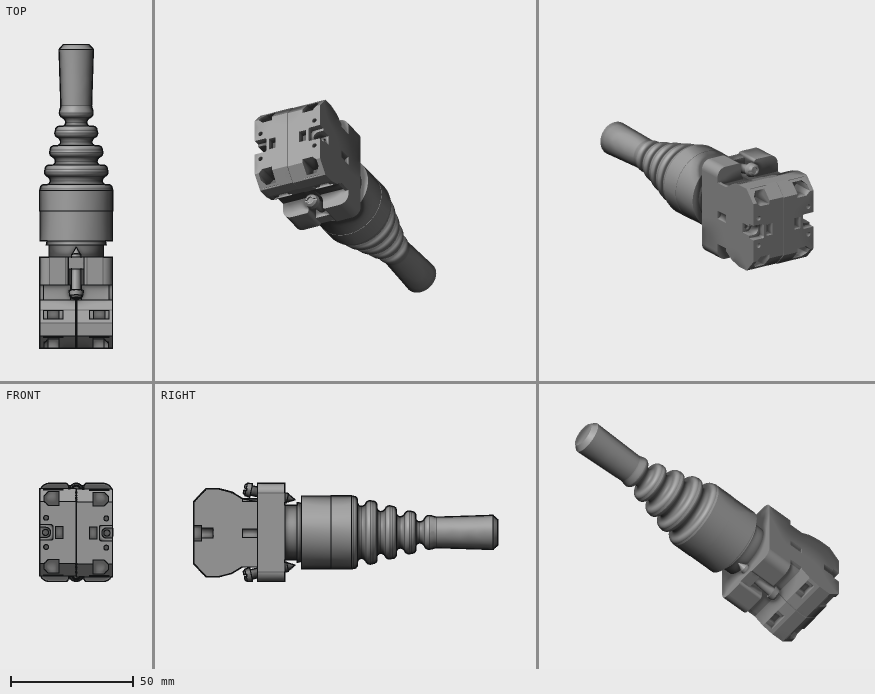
import cadquery as cq
import math


contact_depth = 25.9
mount_front = 37.2
flange_rear = 42.2
housing_rear = 43.9
boot_rear = 56.1
lever_tip = 124.1

tip_radius = 5.2
tip_chamfer = 1.9
tip_chamfer_length = 2.0
grip_end = 99.2
grip_end_radius = 6.3
collar_y = 96.2
collar_radius = 7.0
ring_count = 3
ring_pitch = 8.0
ring_step = 2.1
first_crest_y = 88.0
first_crest_radius = 8.8
first_neck_y = 92.2
first_neck_radius = 4.3
front_round = 1.7
front_neck_round = 1.5
shoulder_drop = 0.2
rim_radius = 15.0
rim_taper_length = 0.7

housing_radius = 14.9
flange_radius = 12.3
flange_taper = 0.4
stem_radius = 11.2

mount_width = 29.8
mount_height = 40.2
mount_corner = 4.0
notch_half_width = 3.2
notch_mouth_round = 1.1
selection_margin = 0.1
notch_round_z = 15.9
lug_rear = 32.5
lug_top = 19.1

screw_tilt = 12.0
screw_seat_y = 23.5
screw_seat_z = 17.1
shank_radius = 2.0
head_rim_radius = 3.0
head_radius = 2.6
head_length = 3.0
head_bevel = 0.9
head_recess_radius = 1.4
head_slot_width = 0.7
drive_depth = 1.1
shank_length = 15.1
point_length = 3.2
point_radius = 1.7

seam = 0.2
block_shift = 0.2
block_half_height = 17.9
rear_half_height = 12.7
rear_chamfer_y = 5.0
crest_front_y = 10.4
shoulder_y = 15.6
shoulder_half_height = 16.5
step_y = 19.9
step_half_height = 13.9
slope_end_half_height = 12.8
outer_strip = 1.5
centre_strip = 2.2

wire_hole_outer_x = 13.2
wire_hole_inner_x = 7.0
wire_hole_top = 16.6
wire_hole_bottom = 11.0
wire_hole_corner = 1.7
wire_hole_depth = 9.9

window_outer_x = 13.4
window_inner_x = 5.3
window_rear_y = 11.9
window_front_y = 15.5
window_ledge_z = 16.0
window_ledge = 1.7
window_floor_z = 13.7

edge_groove_top = 17.6
edge_groove_height = 0.2
edge_groove_front_y = 4.7

probe_hole_x = 12.3
probe_hole_z = 6.0
probe_hole_radius = 1.0
probe_hole_depth = 2.5

latch_hole_inner_x = 5.3
latch_hole_width = 3.1
latch_hole_height = 5.0
latch_hole_depth = 3.7

side_box_width = 5.3
side_box_height = 6.3
side_box_depth = 3.1
side_box_corner = 0.7
side_slot_radius = 2.1
side_slot_end_y = 8.0
side_screw_x = 12.5
side_screw_radius = 1.2
side_screw_depth = 1.2
side_groove_radius = 1.7


def box(x0, x1, y0, y1, z0, z1):
    """A box given by its limits on the three axes."""
    return cq.Workplane("XY").box(x1 - x0, y1 - y0, z1 - z0, centered=False).translate((x0, y0, z0))


def polar(centre_y, centre_r, radius, degrees):
    """A point (r, y) on a circle; the angle is measured from outward towards the lever tip."""
    angle = math.radians(degrees)
    return (centre_r + radius * math.cos(angle), centre_y + radius * math.sin(angle))


def turn_about_lever_axis(outline):
    """Turn an outline of (radius, y) points about the Y axis."""
    return outline.close().revolve(360, (0, 0, 0), (0, 1, 0))


def rear_flank(outline, crest_y, crest_r, neck_y, neck_r):
    """From a crest down to the next neck: a convex and a hollow arc that meet tangentially."""
    run = crest_y - neck_y
    drop = crest_r - neck_r
    turn = 2 * math.degrees(math.atan2(drop, run))
    radius = run / math.sin(math.radians(turn)) / 2
    crest_centre = (crest_y, crest_r - radius)
    neck_centre = (neck_y, neck_r + radius)
    outline = outline.threePointArc(
        polar(*crest_centre, radius, -turn / 2), polar(*crest_centre, radius, -turn)
    )
    return outline.threePointArc(polar(*neck_centre, radius, 180 - turn / 2), (neck_r, neck_y))


def front_flank(outline, neck_y, neck_r, crest_y, crest_r):
    """From a neck out to the next crest: a hollow arc, a flat face and a rounded shoulder."""
    face_y = neck_y - front_neck_round
    shoulder_r = crest_r - shoulder_drop
    outline = outline.threePointArc(
        polar(neck_y, neck_r + front_neck_round, front_neck_round, 225),
        (neck_r + front_neck_round, face_y),
    )
    outline = outline.lineTo(shoulder_r - front_round, face_y)
    outline = outline.threePointArc(
        polar(face_y - front_round, shoulder_r - front_round, front_round, 45),
        (shoulder_r, face_y - front_round),
    )
    return outline.lineTo(crest_r, crest_y)


def make_boot():
    """Lever grip, bellows and wide rim as one turned body."""
    outline = (
        cq.Workplane("XY")
        .moveTo(0, lever_tip)
        .lineTo(tip_radius, lever_tip)
        .lineTo(tip_radius + tip_chamfer, lever_tip - tip_chamfer_length)
        .lineTo(grip_end_radius, grip_end)
        .spline(
            [(collar_radius, collar_y)],
            tangents=[(0, -1), (0, -1)],
            includeCurrent=True,
        )
    )
    crest_y = collar_y
    crest_r = collar_radius
    for i in range(ring_count + 1):
        neck_y = first_neck_y - i * ring_pitch
        neck_r = first_neck_radius + i * ring_step
        outline = rear_flank(outline, crest_y, crest_r, neck_y, neck_r)
        if i < ring_count:
            crest_y = first_crest_y - i * ring_pitch
            crest_r = first_crest_radius + i * ring_step
        else:
            crest_y = neck_y - front_neck_round - front_round - rim_taper_length
            crest_r = rim_radius
        outline = front_flank(outline, neck_y, neck_r, crest_y, crest_r)
    outline = outline.lineTo(rim_radius, boot_rear).lineTo(0, boot_rear)
    return turn_about_lever_axis(outline)


def make_housing():
    """Round housing with a tapered flange and the stem that meets the mounting block."""
    outline = (
        cq.Workplane("XY")
        .moveTo(0, boot_rear)
        .lineTo(housing_radius, boot_rear)
        .lineTo(housing_radius, housing_rear)
        .lineTo(flange_radius - flange_taper, housing_rear)
        .lineTo(flange_radius, flange_rear)
        .lineTo(stem_radius, flange_rear)
        .lineTo(stem_radius, mount_front)
        .lineTo(0, mount_front)
    )
    return turn_about_lever_axis(outline)


def tilt_screw(shape, side):
    """Place a screw built along +Y from the origin at the top (side 1) or bottom (side -1)."""
    shape = shape.rotate((0, 0, 0), (1, 0, 0), -side * screw_tilt)
    return shape.translate((0, screw_seat_y, side * screw_seat_z))


def make_screw(side):
    """Pointed screw with a tapered round head and a slotted round recess."""
    outline = (
        cq.Workplane("XY")
        .moveTo(0, -head_length)
        .lineTo(head_radius - head_bevel, -head_length)
        .lineTo(head_radius, -head_length + head_bevel)
        .lineTo(head_rim_radius, 0)
        .lineTo(shank_radius, 0)
        .lineTo(shank_radius, shank_length)
        .lineTo(point_radius, shank_length)
        .lineTo(0, shank_length + point_length)
    )
    drive = (
        cq.Workplane("XZ", origin=(0, -head_length, 0))
        .circle(head_recess_radius)
        .extrude(-drive_depth)
    )
    slot = box(
        -head_rim_radius, head_rim_radius, -head_length, -head_length + drive_depth,
        -head_slot_width / 2, head_slot_width / 2,
    )
    screw = turn_about_lever_axis(outline).cut(drive.union(slot))
    return tilt_screw(screw, side)


def round_bottom_bar(side, rear_y, top):
    """U-shaped bar along Y, up to the front of the mount; side is 1 at the top, -1 at the bottom."""
    return (
        cq.Workplane("XZ", origin=(0, rear_y, 0))
        .moveTo(-notch_half_width, side * top)
        .lineTo(-notch_half_width, side * notch_round_z)
        .threePointArc(
            (0, side * (notch_round_z - notch_half_width)),
            (notch_half_width, side * notch_round_z),
        )
        .lineTo(notch_half_width, side * top)
        .close()
        .extrude(rear_y - mount_front)
    )


def make_mount():
    """Rounded block with a notch, a lug and a slanted screw hole at the top and at the bottom."""
    block = (
        cq.Workplane("XZ", origin=(0, contact_depth, 0))
        .rect(mount_width, mount_height)
        .extrude(contact_depth - mount_front)
        .edges("|Y")
        .fillet(mount_corner)
    )
    half_height = mount_height / 2
    for side in (1, -1):
        block = block.cut(round_bottom_bar(side, contact_depth, half_height))
    mouth = cq.selectors.BoxSelector(
        (-notch_half_width - selection_margin, 0, -half_height - selection_margin),
        (notch_half_width + selection_margin, mount_front, half_height + selection_margin),
    )
    mouth_edges = block.faces(">Z or <Z").edges("|Y").edges(mouth)
    block = block.newObject(mouth_edges.vals()).fillet(notch_mouth_round)
    for side in (1, -1):
        block = block.union(round_bottom_bar(side, lug_rear, lug_top))
        hole = cq.Workplane("XZ").circle(shank_radius).extrude(-shank_length)
        block = block.cut(tilt_screw(hole, side))
    return block


def block_profile(front_half_height):
    """Side outline of a contact block, drawn on its outer face at the -X side."""
    return (
        cq.Workplane("YZ", origin=(-mount_width / 2, 0, 0))
        .moveTo(0, -rear_half_height)
        .lineTo(0, rear_half_height)
        .lineTo(rear_chamfer_y, block_half_height)
        .lineTo(crest_front_y, block_half_height)
        .lineTo(shoulder_y, shoulder_half_height)
        .lineTo(step_y, step_half_height)
        .lineTo(contact_depth, front_half_height)
        .lineTo(contact_depth, -front_half_height)
        .lineTo(step_y, -step_half_height)
        .lineTo(shoulder_y, -shoulder_half_height)
        .lineTo(crest_front_y, -block_half_height)
        .lineTo(rear_chamfer_y, -block_half_height)
        .close()
    )


def block_body():
    """Contact block on the -X side without its holes."""
    width = (mount_width - seam) / 2
    outer_x = -mount_width / 2
    body = block_profile(slope_end_half_height).extrude(width)
    strips = block_profile(step_half_height).extrude(width)
    top_strip = box(outer_x, outer_x + outer_strip, 0, contact_depth, 0, block_half_height)
    seam_strip = box(
        -centre_strip, -seam / 2, 0, contact_depth, -block_half_height, block_half_height
    )
    body = body.union(strips.intersect(top_strip.union(seam_strip)))
    corner_notch = box(
        outer_x, outer_x + outer_strip, step_y, contact_depth,
        -step_half_height, -slope_end_half_height,
    )
    return body.cut(corner_notch)


def wire_holes():
    """Wire entries, with cut outer corners, that open in the rear chamfers."""
    middle_z = (wire_hole_top + wire_hole_bottom) / 2
    hole = (
        box(-wire_hole_outer_x, -wire_hole_inner_x, 0, wire_hole_depth, wire_hole_bottom, wire_hole_top)
        .edges("|Y and <X")
        .chamfer(wire_hole_corner)
    )
    return hole.union(hole.mirror("XY"))


def windows():
    """Stepped pockets in the top and the bottom face."""
    pocket = box(
        -window_outer_x, -window_inner_x, window_rear_y, window_front_y,
        window_ledge_z, block_half_height,
    )
    well = box(
        -window_outer_x + window_ledge, -window_inner_x - window_ledge, window_rear_y, window_front_y,
        window_floor_z, block_half_height,
    )
    pocket = pocket.union(well)
    return pocket.union(pocket.mirror("XY"))


def edge_grooves():
    """Narrow grooves along the outer edges of the rear chamfers."""
    groove = box(
        -window_outer_x, -window_inner_x, 0, edge_groove_front_y,
        edge_groove_top - edge_groove_height, edge_groove_top,
    )
    return groove.union(groove.mirror("XY"))


def rear_holes():
    """Two round probe holes and a rectangular latch hole in the rear face."""
    holes = (
        cq.Workplane("XZ")
        .pushPoints([(-probe_hole_x, -probe_hole_z), (-probe_hole_x, probe_hole_z)])
        .circle(probe_hole_radius)
        .extrude(-probe_hole_depth)
    )
    latch = box(
        -latch_hole_inner_x - latch_hole_width, -latch_hole_inner_x, 0, latch_hole_depth,
        -latch_hole_height / 2, latch_hole_height / 2,
    )
    return holes.union(latch)


def side_recesses():
    """Stepped screw recess at the rear and a round groove at the front of the outer side."""
    outer_x = -mount_width / 2
    recess = box(
        outer_x, outer_x + side_box_width, 0, side_box_depth,
        -side_box_height / 2, side_box_height / 2,
    ).edges("|Y and >X").fillet(side_box_corner)
    slot = box(outer_x, -side_screw_x, 0, side_slot_end_y, -side_slot_radius, side_slot_radius)
    slot_end = (
        cq.Workplane("XZ").center(-side_screw_x, 0).circle(side_slot_radius).extrude(-side_slot_end_y)
    )
    screw_hole = (
        cq.Workplane("XZ")
        .center(-side_screw_x, 0)
        .circle(side_screw_radius)
        .extrude(-side_slot_end_y - side_screw_depth)
    )
    groove = (
        cq.Workplane("XZ", origin=(outer_x, step_y, 0))
        .circle(side_groove_radius)
        .extrude(step_y - contact_depth)
    )
    return recess.union(slot).union(slot_end).union(screw_hole).union(groove)


def make_contact_block(side):
    """Contact block on the -X side (side -1), or the same block turned over, set lower, on +X."""
    block = block_body().cut(wire_holes()).cut(windows())
    block = block.cut(edge_grooves()).cut(rear_holes()).cut(side_recesses())
    if side < 0:
        return block
    return block.rotate((0, 0, 0), (0, 1, 0), 180).translate((0, 0, -block_shift))


boot = make_boot()
housing = make_housing()
mount = make_mount()
screws = [make_screw(side) for side in (1, -1)]
contact_blocks = [make_contact_block(side) for side in (-1, 1)]

result = cq.Compound.makeCompound(
    [
        boot.val(),
        housing.val(),
        mount.val(),
        *[screw.val() for screw in screws],
        *[block.val() for block in contact_blocks],
    ]
)